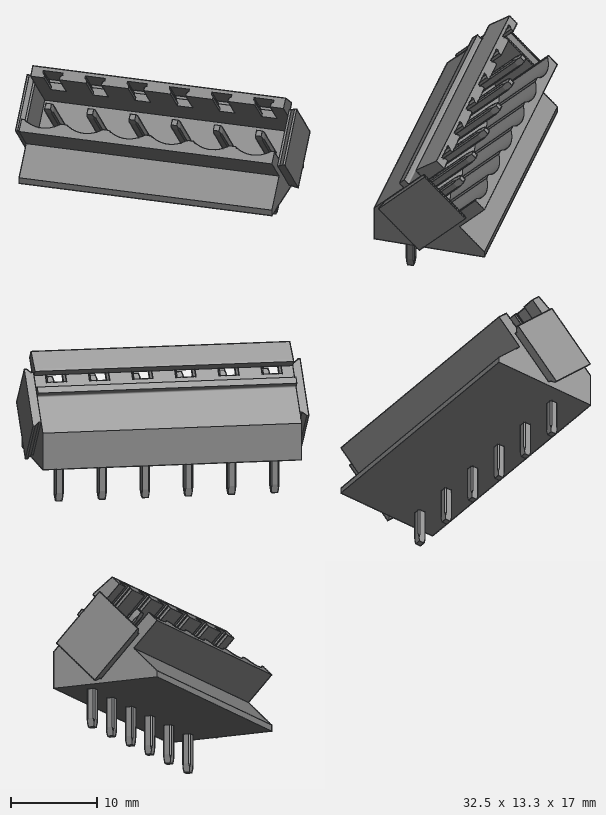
import cadquery as cq
import math


PIN_COUNT = 6
TOTAL_LENGTH = 32.48
HOUSING_LENGTH = 30.45
PITCH = HOUSING_LENGTH / PIN_COUNT
PIN_XS = [(i - (PIN_COUNT - 1) / 2) * PITCH for i in range(PIN_COUNT)]

REAR_Y = 3.75
BACK_UP = 5.72
UNDER_UP = -2.0
MOUTH_OUT = 11.5
FOOT_OUT = 7.28

FLOOR_OUT = 3.12
CHANNEL_BOTTOM_UP = -0.5
CHANNEL_TOP_UP = 4.85
SCALLOP_RADIUS = 3.48
SCALLOP_DEPTH = 0.75

LIP_OUT = 8.4
LIP_REAR_UP = 6.6
LIP_FRONT_UP = 6.15
LIP_LAND = 0.3
RIDGE_OUT = 5.5
RIDGE_WIDTH = 0.85
RIDGE_UP = 6.45
RIDGE_FILLET = 0.2

SLOT_OUT = 7.4
SLOT_WIDTH = 1.85
SLOT_TOP_WIDTH = 2.37
SLOT_TOP_HEIGHT = 0.25

PLATE_THICKNESS = (TOTAL_LENGTH - HOUSING_LENGTH) / 2
PLATE_OUT_MIN = 1.53
PLATE_OUT_MAX = 9.4
PLATE_UP_MIN = -1.3
PLATE_UP_MAX = 5.65
PLATE_NECK = 0.25
PLATE_RIM = 0.25
PLATE_INSET = 0.5

PIN_WIDTH = 1.0
PIN_CHAMFER = 0.15
TIP_WIDTH = 0.68
TIP_LENGTH = 0.97
PIN_BOTTOM_Z = -4.48
CONTACT_UP = 1.8
CONTACT_END_OUT = 10.52

ROOT2 = math.sqrt(2)
OUT_DIR = cq.Vector(0, -1, 1) / ROOT2
UP_DIR = cq.Vector(0, 1, 1) / ROOT2


def tilted(out, up):
    """(Y, Z) of a point given in the tilted frame."""
    return ((up - out) / ROOT2, (up + out) / ROOT2)


def prism(points):
    """Prism over the housing length, centred on X = 0, from (out, up) points."""
    outline = [tilted(out, up) for out, up in points]
    return cq.Workplane("YZ").polyline(outline).close().extrude(HOUSING_LENGTH / 2, both=True)


def block(out_min, out_max, up_min, up_max):
    """Full-length rectangular prism in the tilted frame."""
    return prism([(out_min, up_min), (out_max, up_min), (out_max, up_max), (out_min, up_max)])


def across_channel(out):
    """Workplane square to the out direction, with local x = X and local y = up."""
    y, z = tilted(out, 0)
    return cq.Workplane(cq.Plane(origin=(0, y, z), xDir=(1, 0, 0), normal=OUT_DIR.toTuple()))


def make_body():
    """Base, front foot and channel walls, before the smaller features."""
    front_y = tilted(MOUTH_OUT, UNDER_UP)[0]
    outline = [
        (REAR_Y, 0),
        (front_y, 0),
        (front_y, FOOT_OUT * ROOT2 + front_y),
        tilted(FOOT_OUT, UNDER_UP),
        tilted(MOUTH_OUT, UNDER_UP),
        tilted(MOUTH_OUT, BACK_UP),
        (REAR_Y, BACK_UP * ROOT2 - REAR_Y),
    ]
    body = cq.Workplane("YZ").polyline(outline).close().extrude(HOUSING_LENGTH / 2, both=True)
    return body.cut(block(FLOOR_OUT, MOUTH_OUT, CHANNEL_BOTTOM_UP, CHANNEL_TOP_UP))


def make_lip():
    """Lip on top of the upper wall, its top sloping down towards the mouth."""
    return prism([
        (LIP_OUT, BACK_UP),
        (MOUTH_OUT, BACK_UP),
        (MOUTH_OUT, LIP_FRONT_UP),
        (LIP_OUT + LIP_LAND, LIP_REAR_UP),
        (LIP_OUT, LIP_REAR_UP),
    ])


def make_ridge():
    """Ridge along the back face, with a concave fillet along each side of its root."""
    ridge_end = RIDGE_OUT + RIDGE_WIDTH
    ridge = block(RIDGE_OUT, ridge_end, BACK_UP, RIDGE_UP)
    fillet_up = BACK_UP + RIDGE_FILLET
    foot = block(RIDGE_OUT - RIDGE_FILLET, ridge_end + RIDGE_FILLET, BACK_UP, fillet_up)
    for out in (RIDGE_OUT - RIDGE_FILLET, ridge_end + RIDGE_FILLET):
        hollow = (
            cq.Workplane("YZ").center(*tilted(out, fillet_up))
            .circle(RIDGE_FILLET).extrude(HOUSING_LENGTH / 2, both=True)
        )
        foot = foot.cut(hollow)
    return ridge.union(foot)


def make_scallop(x):
    """Round hollow along the lower wall below one contact, cut to the wall's thickness."""
    centre_up = CHANNEL_BOTTOM_UP - SCALLOP_DEPTH + SCALLOP_RADIUS
    cylinder = (
        across_channel(FLOOR_OUT).center(x, centre_up)
        .circle(SCALLOP_RADIUS).extrude(MOUTH_OUT - FLOOR_OUT)
    )
    return cylinder.intersect(block(FLOOR_OUT, MOUTH_OUT, UNDER_UP, CHANNEL_BOTTOM_UP))


def make_slot(x):
    """Dovetail slot through the upper wall, open to the mouth and closed above by the lip."""
    half = SLOT_WIDTH / 2
    half_top = SLOT_TOP_WIDTH / 2
    flare_top = BACK_UP - SLOT_TOP_HEIGHT
    flare_bottom = flare_top - (half_top - half)
    outline = [
        (x - half, CHANNEL_TOP_UP),
        (x + half, CHANNEL_TOP_UP),
        (x + half, flare_bottom),
        (x + half_top, flare_top),
        (x + half_top, BACK_UP),
        (x - half_top, BACK_UP),
        (x - half_top, flare_top),
        (x - half, flare_bottom),
    ]
    return across_channel(SLOT_OUT).polyline(outline).close().extrude(MOUTH_OUT - SLOT_OUT)


def make_end_plate(side):
    """Plate closing one channel end, with a bevelled undercut along both short edges."""
    inner = HOUSING_LENGTH / 2
    outer = inner + PLATE_THICKNESS
    neck_min = PLATE_OUT_MIN + PLATE_INSET
    neck_max = PLATE_OUT_MAX - PLATE_INSET
    profile = [
        (inner, neck_min),
        (inner + PLATE_NECK, neck_min),
        (outer - PLATE_RIM, PLATE_OUT_MIN),
        (outer, PLATE_OUT_MIN),
        (outer, PLATE_OUT_MAX),
        (outer - PLATE_RIM, PLATE_OUT_MAX),
        (inner + PLATE_NECK, neck_max),
        (inner, neck_max),
    ]
    y, z = tilted(0, PLATE_UP_MAX)
    plane = cq.Plane(origin=(0, y, z), xDir=(1, 0, 0), normal=(-UP_DIR).toTuple())
    points = [(side * x, out) for x, out in profile]
    return cq.Workplane(plane).polyline(points).close().extrude(PLATE_UP_MAX - PLATE_UP_MIN)


def pin_bar(plane, length):
    """Straight bar with chamfered corners, starting on the given plane."""
    return (
        cq.Workplane(plane).rect(PIN_WIDTH, PIN_WIDTH).extrude(length)
        .edges(cq.selectors.ParallelDirSelector(plane.zDir)).chamfer(PIN_CHAMFER)
    )


def pin_arm(plane, length):
    """Bar with its far end tapered on four sides."""
    taper = (
        cq.Workplane(plane).workplane(offset=length - TIP_LENGTH).rect(PIN_WIDTH, PIN_WIDTH)
        .workplane(offset=TIP_LENGTH).rect(TIP_WIDTH, TIP_WIDTH).loft()
    )
    straight = pin_bar(plane, length - TIP_LENGTH)
    return straight.union(pin_bar(plane, length).intersect(taper))


def make_pin(x):
    """Pin running up from the solder tip, then bent 45 degrees forward into the channel."""
    bend_z = CONTACT_UP * ROOT2
    bend = cq.Vector(x, 0, bend_z)
    overlap = PIN_WIDTH
    waste_size = 4 * PIN_WIDTH
    contact_dir = OUT_DIR
    tail_dir = cq.Vector(0, 0, -1)
    mitre_dir = (contact_dir - tail_dir).normalized()
    contact_length = CONTACT_END_OUT - CONTACT_UP
    tail_length = bend_z - PIN_BOTTOM_Z

    def trimmed_arm(direction, length, keep_dir):
        """Arm starting behind the bend, with only the keep_dir side of the mitre plane left."""
        start = bend - direction * overlap
        plane = cq.Plane(origin=start.toTuple(), xDir=(1, 0, 0), normal=direction.toTuple())
        mitre = cq.Plane(origin=bend.toTuple(), xDir=(1, 0, 0), normal=(-keep_dir).toTuple())
        waste = cq.Workplane(mitre).rect(waste_size, waste_size).extrude(waste_size)
        return pin_arm(plane, length + overlap).cut(waste)

    contact = trimmed_arm(contact_dir, contact_length, mitre_dir)
    tail = trimmed_arm(tail_dir, tail_length, -mitre_dir)
    return contact.union(tail)


def make_housing(pins):
    """Housing with all its features and a close-fitting hole for every pin."""
    housing = make_body().union(make_lip()).union(make_ridge())
    for x in PIN_XS:
        housing = housing.cut(make_scallop(x)).cut(make_slot(x))
    for side in (-1, 1):
        housing = housing.union(make_end_plate(side))
    for pin in pins:
        housing = housing.cut(pin)
    return housing


pins = [make_pin(x) for x in PIN_XS]
housing = make_housing(pins)
result = cq.Compound.makeCompound([housing.val(), *[pin.val() for pin in pins]])